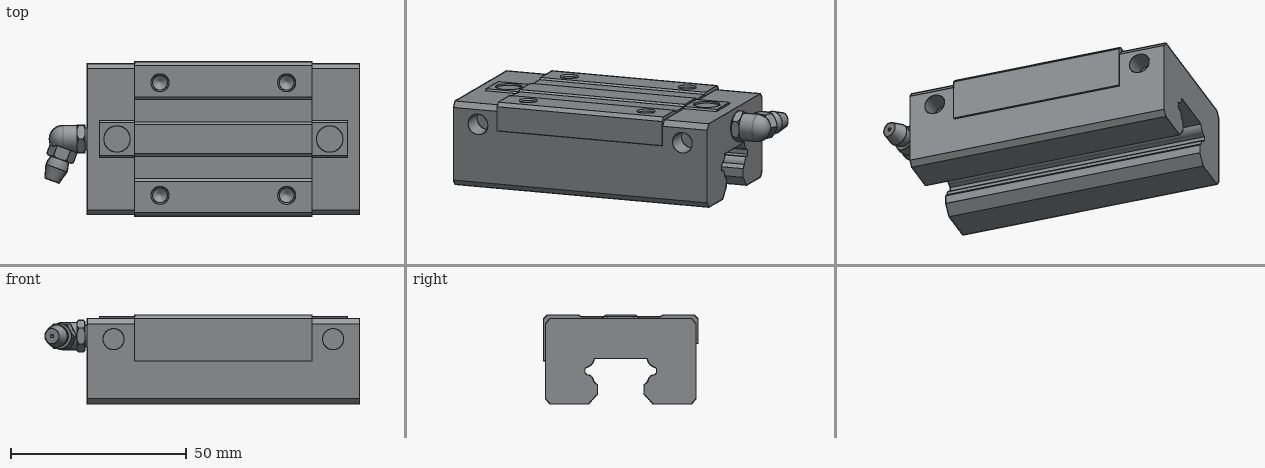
import cadquery as cq
import math

block_length = 50.4
block_width = 44.0
block_height = 25.4
block_chamfer = 1.1
front_land_bottom = 12.3
back_land_bottom = 17.2

cap_length = 10.05
plate_length = 3.5
body_width = 42.9
cap_height = 24.4
body_chamfer_y = 1.35
body_chamfer_z = 1.6

carriage_length = block_length + 2 * (cap_length + plate_length)

groove_depth = 0.5
groove_slope = 0.75
pad_half_width = 4.15
rail_half_width = 12.0

cap_pad_half_width = 4.75
cap_pad_height = 0.5
cap_recess_diameter = 7.5
cap_recess_depth = 0.5

mount_spacing_x = 36.0
mount_spacing_y = 32.0
mount_drill = 4.2
mount_mouth = 5.1
mount_depth = 8.0
drill_point_angle = 118.0

side_hole_diameter = 6.0
side_hole_depth = 7.0
side_hole_offset = 6.0
side_hole_z = 18.5

channel_top = 12.95
channel_top_half = 7.5
slot_middle_z = 9.55
slot_mouth_half = 1.2
slot_floor_half = 0.65
slot_mouth_y = 9.0
slot_floor_y = 10.1
slot_lip_y = 9.6
upper_bulge = (8.1, 11.5)
lower_bulge = (8.2, 7.7)
lower_bulge_end = (7.65, 6.45)
throat_half = 6.55
throat_top = 5.45
throat_bottom = 2.9
mouth_half = 9.2

nipple_z = 19.35
neck_diameter = 6.3
neck_length = 0.6
base_hex_flats = 7.9
base_hex_length = 2.2
elbow_radius = 3.9
elbow_center = 6.85
arm_origin = 5.67
arm_angle = 20.0
arm_hex_flats = 6.95
arm_hex_start = 2.7
arm_hex_end = 6.1
head_bulge = (3.0, 7.3)
head_widest = 8.8
arm_length = 12.6
head_neck_radius = 2.6
head_radius = 3.2
tip_radius = 2.15
tip_bore_diameter = 0.9
tip_bore_depth = 2.0
hex_edge_chamfer = 0.45


def carriage_body():
    half = body_width / 2
    inner = half - body_chamfer_y
    outline = [
        (-inner, 0),
        (inner, 0),
        (half, body_chamfer_z),
        (half, cap_height - body_chamfer_z),
        (inner, cap_height),
        (-inner, cap_height),
        (-half, cap_height - body_chamfer_z),
        (-half, body_chamfer_z),
    ]
    body = cq.Workplane("YZ").polyline(outline).close().extrude(carriage_length / 2, both=True)
    return body


def block_upper():
    half = block_width / 2
    shoulder = block_height - block_chamfer
    floor_z = block_height - groove_depth
    outline = [
        (-half, front_land_bottom),
        (-half, shoulder),
        (-half + block_chamfer, block_height),
        (-rail_half_width, block_height),
        (-rail_half_width + groove_slope, floor_z),
        (-pad_half_width - groove_slope, floor_z),
        (-pad_half_width, block_height),
        (pad_half_width, block_height),
        (pad_half_width + groove_slope, floor_z),
        (rail_half_width - groove_slope, floor_z),
        (rail_half_width, block_height),
        (half - block_chamfer, block_height),
        (half, shoulder),
        (half, back_land_bottom),
        (body_width / 2, back_land_bottom),
        (body_width / 2, front_land_bottom),
    ]
    return cq.Workplane("YZ").polyline(outline).close().extrude(block_length / 2, both=True)


def cap_pad(side):
    base_half = cap_pad_half_width + cap_pad_height
    top_z = cap_height + cap_pad_height
    outline = [
        (-base_half, cap_height),
        (base_half, cap_height),
        (cap_pad_half_width, top_z),
        (-cap_pad_half_width, top_z),
    ]
    center_x = side * (block_length + cap_length) / 2
    pad = (
        cq.Workplane("YZ", origin=(center_x, 0, 0))
        .polyline(outline)
        .close()
        .extrude(cap_length / 2, both=True)
    )
    recess = (
        cq.Workplane("XY", origin=(center_x, 0, top_z - cap_recess_depth))
        .circle(cap_recess_diameter / 2)
        .extrude(cap_recess_depth)
    )
    return pad.cut(recess)


def rail_channel():
    half_channel = (
        cq.Workplane("YZ")
        .moveTo(0, 0)
        .lineTo(mouth_half, 0)
        .lineTo(throat_half, throat_bottom)
        .lineTo(throat_half, throat_top)
        .lineTo(*lower_bulge_end)
        .threePointArc(lower_bulge, (slot_mouth_y, slot_middle_z - slot_mouth_half))
        .lineTo(slot_lip_y, slot_middle_z - slot_mouth_half)
        .lineTo(slot_floor_y, slot_middle_z - slot_floor_half)
        .lineTo(slot_floor_y, slot_middle_z + slot_floor_half)
        .lineTo(slot_mouth_y, slot_middle_z + slot_mouth_half)
        .threePointArc(upper_bulge, (channel_top_half, channel_top))
        .lineTo(0, channel_top)
        .close()
        .extrude(carriage_length / 2, both=True)
    )
    return half_channel.union(half_channel.mirror("XZ"))


def mount_hole(x, y):
    radius = mount_drill / 2
    mouth_radius = mount_mouth / 2
    mouth_bevel = mouth_radius - radius
    point_length = radius / math.tan(math.radians(drill_point_angle / 2))
    profile = [
        (0, 0),
        (mouth_radius, 0),
        (radius, -mouth_bevel),
        (radius, -mount_depth),
        (0, -mount_depth - point_length),
    ]
    hole = cq.Workplane("XZ").polyline(profile).close().revolve(360, (0, 0), (0, 1))
    return hole.translate((x, y, block_height))


def side_hole(side_x, side_y):
    x = side_x * (block_length / 2 + side_hole_offset)
    bottom_y = side_y * (body_width / 2 - side_hole_depth)
    return cq.Workplane(
        cq.Plane(origin=(x, bottom_y, side_hole_z), xDir=(1, 0, 0), normal=(0, side_y, 0))
    ).circle(side_hole_diameter / 2).extrude(side_hole_depth)


def beveled_hexagon(plane, flats, start, end, bevelled_edges):
    """Hexagonal prism along the plane normal, corners bevelled at the selected ends."""
    corner_diameter = flats / math.cos(math.radians(30))
    prism = cq.Workplane(plane).workplane(offset=start).polygon(6, corner_diameter).extrude(end - start)
    bevelled_round = (
        cq.Workplane(plane)
        .workplane(offset=start)
        .circle(corner_diameter / 2)
        .extrude(end - start)
        .edges(bevelled_edges)
        .chamfer(hex_edge_chamfer)
    )
    return prism.intersect(bevelled_round)


def nipple_base(face_x):
    plane = cq.Plane(origin=(face_x, 0, nipple_z), xDir=(0, 0, 1), normal=(-1, 0, 0))
    hex_end = neck_length + base_hex_length
    neck = cq.Workplane(plane).circle(neck_diameter / 2).extrude(neck_length)
    hexagon = beveled_hexagon(plane, base_hex_flats, neck_length, hex_end, "%CIRCLE")
    barrel = (
        cq.Workplane(plane)
        .workplane(offset=hex_end)
        .circle(elbow_radius)
        .extrude(elbow_center - hex_end)
    )
    ball = cq.Workplane(plane).workplane(offset=elbow_center).sphere(elbow_radius)
    return neck.union(hexagon).union(barrel).union(ball)


def nipple_arm(face_x):
    lean = math.radians(arm_angle)
    plane = cq.Plane(
        origin=(face_x - arm_origin, 0, nipple_z),
        xDir=(math.cos(lean), -math.sin(lean), 0),
        normal=(-math.sin(lean), -math.cos(lean), 0),
    )
    outer_end = cq.DirectionMinMaxSelector(plane.zDir, True)
    hexagon = beveled_hexagon(plane, arm_hex_flats, arm_hex_start, arm_hex_end, outer_end)
    axial_plane = cq.Plane(origin=plane.origin, xDir=plane.xDir, normal=(0, 0, -1))
    head = (
        cq.Workplane(axial_plane)
        .lineTo(head_neck_radius, 0)
        .lineTo(head_neck_radius, arm_hex_end)
        .threePointArc(head_bulge, (head_radius, head_widest))
        .lineTo(tip_radius, arm_length)
        .lineTo(0, arm_length)
        .close()
        .revolve(360, (0, 0), (0, 1))
    )
    bore = (
        cq.Workplane(plane)
        .workplane(offset=arm_length - tip_bore_depth)
        .circle(tip_bore_diameter / 2)
        .extrude(tip_bore_depth)
    )
    return head.union(hexagon).cut(bore)


result = carriage_body().union(block_upper())
for side in (-1, 1):
    result = result.union(cap_pad(side))
result = result.cut(rail_channel())

for side_x in (-1, 1):
    for side_y in (-1, 1):
        result = result.cut(mount_hole(side_x * mount_spacing_x / 2, side_y * mount_spacing_y / 2))
        result = result.cut(side_hole(side_x, side_y))

end_face_x = -carriage_length / 2
result = result.union(nipple_base(end_face_x)).union(nipple_arm(end_face_x))